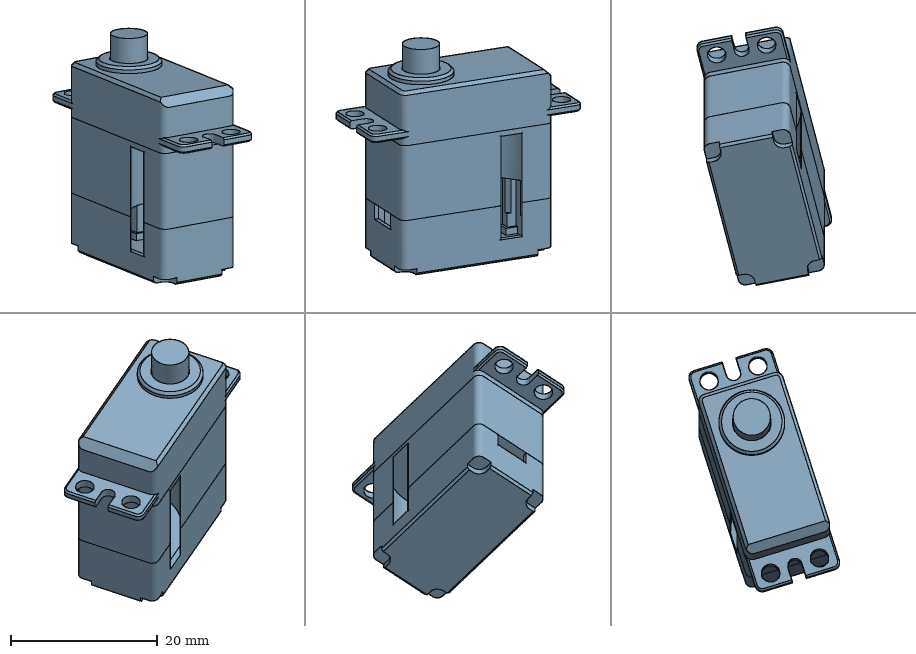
import cadquery as cq

case_length = 23.0
case_width = 12.0
corner_radius = 1.0

cover_top = 8.13
middle_top = 18.88
case_top = 26.6
collar_top = 27.5
shaft_top = 31.0

top_chamfer = 0.48
end_chamfer = 1.2
collar_diameter = 9.0
collar_chamfer = 0.4

shaft_x = -5.65
shaft_diameter = 5.1
shaft_clearance = 0.08

ear_span = 32.0
ear_top = 21.12
ear_thickness = 1.2
ear_chamfer = 0.25
ear_hole_diameter = 2.5
ear_hole_x = 14.0
ear_hole_y = 3.5
ear_slot_width = 2.0

bay_x = 5.15
bay_window_width = 3.2
bay_bottom = 3.23
bay_top = 18.1
bay_radius = 6.1

bottom_chamfer = 0.35
floor_thickness = 0.3
cover_wall = 0.6
well_wall = 0.8
cable_window_width = 5.0
cable_window_bottom = 5.9
foot_recess_radius = 1.3
foot_recess_height = 1.0
foot_recess_roof = 0.3
post_reach = 2.18

half_length = case_length / 2
half_width = case_width / 2
corners = [(sx, sy) for sx in (-1, 1) for sy in (-1, 1)]


def box_between(x_range, y_range, z_range):
    """Axis-aligned box from its (low, high) limits along each axis."""
    limits = (x_range, y_range, z_range)
    sizes = [high - low for low, high in limits]
    start = tuple(low for low, high in limits)
    return cq.Workplane("XY").box(*sizes, centered=False).translate(start)


def case_block(bottom, top):
    """Slice of the round-cornered case between two levels."""
    return (
        cq.Workplane("XY", origin=(0, 0, bottom))
        .rect(case_length, case_width)
        .extrude(top - bottom)
        .edges("|Z")
        .fillet(corner_radius)
    )


def disc(x, y, diameter, bottom, top):
    return cq.Workplane("XY", origin=(x, y, bottom)).circle(diameter / 2).extrude(top - bottom)


def corner_block(sx, sy, reach, bottom, top):
    """Square block that reaches inward from the outer corner of the case."""
    x_limits = sorted((sx * half_length, sx * (half_length - reach)))
    y_limits = sorted((sy * half_width, sy * (half_width - reach)))
    return box_between(x_limits, y_limits, (bottom, top))


def motor_bay():
    window = box_between(
        (bay_x - bay_window_width / 2, bay_x + bay_window_width / 2),
        (-half_width, half_width),
        (bay_bottom, bay_top),
    )
    return disc(bay_x, 0, 2 * bay_radius, bay_bottom, bay_top).union(window)



def cover_cavity():
    well_start = bay_x - bay_radius
    cable_room = box_between(
        (-half_length + cover_wall, well_start),
        (-half_width + cover_wall, half_width - cover_wall),
        (floor_thickness, cover_top),
    )
    motor_well = box_between(
        (well_start, half_length - well_wall),
        (-half_width + well_wall, half_width - well_wall),
        (floor_thickness, cover_top),
    )
    cavity = cable_room.union(motor_well)
    pad_reach = corner_radius + foot_recess_radius + foot_recess_roof
    pad_top = foot_recess_height + foot_recess_roof
    for sx, sy in corners:
        cavity = cavity.cut(corner_block(sx, sy, post_reach, 0, cover_top))
        cavity = cavity.cut(corner_block(sx, sy, pad_reach, 0, pad_top))
    return cavity


def foot_recess(sx, sy):
    """Notch under one corner, with a rounded inner corner."""
    reach = corner_radius + foot_recess_radius
    block = corner_block(sx, sy, reach, 0, foot_recess_height)
    inner_edge = f"|Z and {'<' if sx > 0 else '>'}X and {'<' if sy > 0 else '>'}Y"
    return block.edges(inner_edge).fillet(foot_recess_radius)


def cable_window():
    return box_between(
        (-half_length, -half_length + cover_wall),
        (-cable_window_width / 2, cable_window_width / 2),
        (cable_window_bottom, cover_top),
    )


def make_cover():
    cover = case_block(0, cover_top).faces("<Z").edges().chamfer(bottom_chamfer)
    for sx, sy in corners:
        cover = cover.cut(foot_recess(sx, sy))
    return cover.cut(cover_cavity()).cut(cable_window()).cut(motor_bay())



def make_middle():
    return case_block(cover_top, middle_top).cut(motor_bay())



def mounting_plate():
    plate = (
        cq.Workplane("XY", origin=(0, 0, ear_top - ear_thickness))
        .rect(ear_span, case_width)
        .extrude(ear_thickness)
        .edges("|Z")
        .fillet(corner_radius)
        .faces("<Z or >Z")
        .edges()
        .chamfer(ear_chamfer)
    )
    holes = (
        cq.Workplane("XY", origin=(0, 0, ear_top - ear_thickness))
        .pushPoints([(sx * ear_hole_x, sy * ear_hole_y) for sx, sy in corners])
        .circle(ear_hole_diameter / 2)
        .extrude(ear_thickness)
    )
    slots = (
        cq.Workplane("XY", origin=(0, 0, ear_top - ear_thickness))
        .pushPoints([(-ear_span / 2, 0), (ear_span / 2, 0)])
        .slot2D(ear_span - 2 * ear_hole_x + ear_slot_width, ear_slot_width)
        .extrude(ear_thickness)
    )
    return plate.cut(holes).cut(slots)


def end_wedge():
    """Wedge taken off the top edge at the +X end."""
    return (
        cq.Workplane("XZ", origin=(0, half_width, 0))
        .moveTo(half_length - end_chamfer, case_top)
        .lineTo(half_length, case_top)
        .lineTo(half_length, case_top - end_chamfer)
        .close()
        .extrude(case_width)
    )


def make_cap():
    cap = case_block(middle_top, case_top).faces(">Z").edges().chamfer(top_chamfer)
    cap = cap.cut(end_wedge()).union(mounting_plate())
    collar = disc(shaft_x, 0, collar_diameter, case_top, collar_top)
    collar = collar.faces(">Z").edges().chamfer(collar_chamfer)
    shaft_hole = disc(shaft_x, 0, shaft_diameter + 2 * shaft_clearance, case_top, collar_top)
    return cap.union(collar).cut(shaft_hole)



def make_shaft():
    """Shaft standing on the floor of the collar's clearance hole."""
    return disc(shaft_x, 0, shaft_diameter, case_top, shaft_top)


cover = make_cover()
middle = make_middle()
cap = make_cap()
shaft = make_shaft()

result = cq.Compound.makeCompound([cover.val(), middle.val(), cap.val(), shaft.val()])